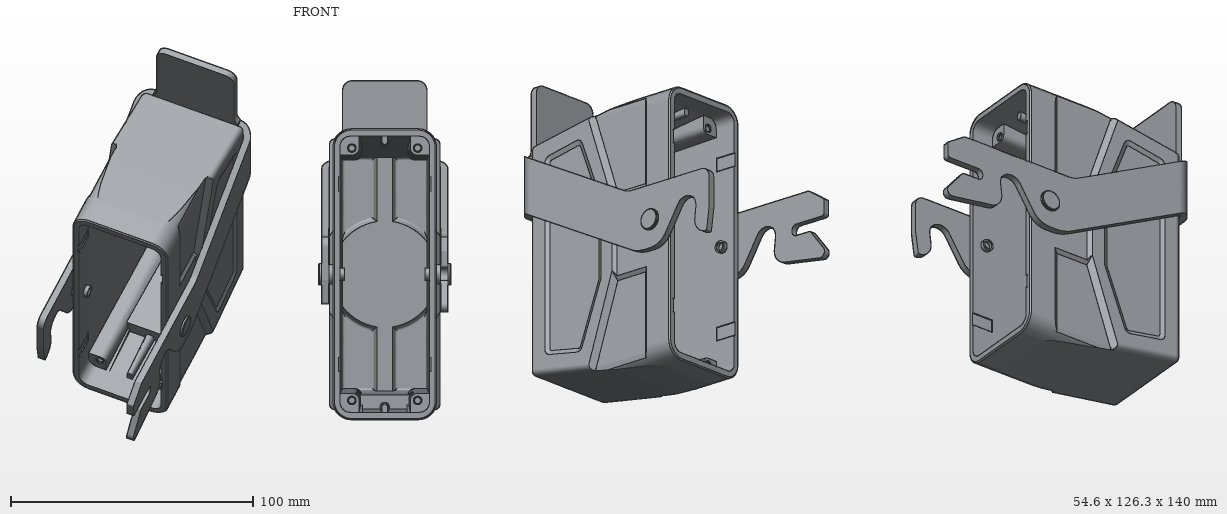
import cadquery as cq
import math


hood_depth = 76.2
hood_half_height = 60.0
body_half_width = 22.89
collar_half_width = 21.35
collar_corner_radius = 7.5
collar_length = 43.4
mouth_chamfer = 0.5
body_edge_radius = 2.4
slope_start_y = 10.9
slope_break_y = 31.6
slope_break_z = 57.8
back_half_height = 50.4
step_y = 29.1
step_half_height = 17.4
step_rim_y = 42.1
step_rim_z = 55.9
step_run = 1.5
step_slope = (step_rim_y - step_y) / (step_rim_z - step_half_height)

panel_floor_x = 20.2
panel_front_y = 14.4
panel_inner_z = 19.5
panel_edge_z = 55.0
panel_edge_drop = 0.4
panel_edge_rise = 2.2
panel_wall_slope = 1.4
panel_diagonal_run = 2.1
pocket_depth = 1.0
pocket_wall_run = 2.0
pocket_corner_radius = 3.1
pocket_middle_corner = (36.8, 17.6)
pocket_front_corner = (48.0, 47.0)
pocket_back_corner = (67.9, 43.4)

mouth_half_width = 18.5
mouth_half_height = 57.0
mouth_corner_radius = 4.2
shelf_y = 10.0
floor_y = 73.1
floor_half_width = 17.4
floor_half_height = 47.9
boss_x = 13.6
boss_z = 52.1
boss_inner_x = 10.6
boss_inner_z = 49.3
boss_corner_radius = 2.5
boss_draft = 2.0
screw_hole_diameter = 2.7
screw_counterbore_diameter = 3.5
screw_counterbore_depth = 0.7
screw_hole_depth = 11.2
key_width = 2.4
key_draft = 2.0
key_tip_z = 53.6
key_length = 35.0
floor_pad_height = 2.8
floor_pad_radius = 22.0
floor_rib_half_width = 3.2
floor_pad_draft = 27.0
floor_fillet = 1.0
ledge_y = 30.8
ledge_half_width = 11.2
ledge_front_z = 49.8
ledge_back_z = 48.9
bay_half_width = 9.1
bay_end_z = 55.6
notch_z = 37.2
notch_height = 5.9
notch_depth = 0.5

pivot_y = 6.5
pin_head_diameter = 9.0
pin_head_chamfer = 0.35
pin_shaft_diameter = 8.0
pin_tail_diameter = 5.0
pin_outer_x = 27.3
pin_inner_x = 16.7
pin_tail_hole_diameter = 3.5
pin_tail_hole_depth = 1.4

lever_thickness = 3.0
lever_half_width = 26.0
lever_back_y = 80.4
lever_bend_radius = 7.0
arm_slope = 0.52
arm_bend_y = lever_back_y - lever_bend_radius
arm_top_at_bend = 43.7
arm_bottom_at_bend = 18.6
arm_top_z = 15.4
arm_bottom_z = -12.3
arm_elbow_radius = 17.8
arm_crook_radius = 10.5
strap_bottom_z = 20.3
tab_top_z = 80.0
tab_half_width = 17.5
tab_corner_radius = 4.2
strap_top_z = 47.0
tab_fillet_radius = 4.2
strap_lower_radius = 1.4
flank_heel = (1.0, arm_bottom_z)
flank_meeting_point = (-21.7, 23.7)
hook_heel = (-17.4, -11.6)
flank_heel_radius = 9.8
notch_radius = 5.5
hook_heel_radius = 6.3
short_tip = (-24.6, -12.5)
short_tip_radius = 0.8
short_end_y = -26.0
short_end_bend_z = -2.5
short_end_top_radius = 4.2
long_tip = (-49.3, -16.5)
long_tip_radius = 2.4
long_end_y = -45.6
long_end_top_z = 9.8
long_top_bevel_y = -37.1
long_bevel_radius = 0.7
slot_half_height = 2.5
slot_end_y = -27.9
slot_corner_radius = 2.4
slot_lower_mouth_y = -38.0
slot_lower_mouth_radius = 1.0
slot_upper_mouth_radius = 1.3

reach = 84.0


def plane_facing_back(y):
    """Sketch plane at depth y with its normal along +Y and its local y along Z."""
    return cq.Workplane(cq.Plane(origin=(0, y, 0), xDir=(-1, 0, 0), normal=(0, 1, 0)))


def plane_facing_side(x):
    """Sketch plane at x with local axes Y and Z and its normal along +X."""
    return cq.Workplane("YZ", origin=(x, 0, 0))


def both_sides(shape):
    """The shape together with its mirror image across X = 0."""
    return shape.union(shape.mirror("YZ"))


def rounded_outline(plane, corners):
    """Closed outline through (u, v, radius) corners, each rounded by a tangent arc."""
    path = None
    for i, (u, v, radius) in enumerate(corners):
        corner = cq.Vector(u, v)
        before = cq.Vector(*corners[i - 1][:2])
        after = cq.Vector(*corners[(i + 1) % len(corners)][:2])
        to_before = (before - corner).normalized()
        to_after = (after - corner).normalized()
        half_angle = to_before.getAngle(to_after) / 2
        setback = radius / math.tan(half_angle)
        start = corner + to_before * setback
        path = plane.moveTo(start.x, start.y) if path is None else path.lineTo(start.x, start.y)
        if radius > 0:
            bisector = (to_before + to_after).normalized()
            middle = corner + bisector * (radius / math.sin(half_angle) - radius)
            end = corner + to_after * setback
            path = path.threePointArc((middle.x, middle.y), (end.x, end.y))
    return path.close()


def hood_side_profile(half_width):
    """Full-length prism between the sloping top and bottom of the hood."""
    upper = [
        (0, hood_half_height),
        (slope_start_y, hood_half_height),
        (slope_break_y, slope_break_z),
        (hood_depth, back_half_height),
    ]
    lower = [(y, -z) for y, z in reversed(upper)]
    return plane_facing_side(-half_width).polyline(upper + lower).close().extrude(2 * half_width)


def step_line(plane):
    """Path along the step that runs across the hood side, bent towards the back above and below."""
    far_y = step_y + (reach - step_half_height) * step_slope
    return plane.polyline(
        [(far_y, reach), (step_y, step_half_height), (step_y, -step_half_height), (far_y, -reach)]
    )


def zone_behind_step():
    """Everything behind the step line, across the whole width."""
    outline = step_line(plane_facing_side(-reach)).lineTo(reach, -reach).lineTo(reach, reach).close()
    return outline.extrude(2 * reach)


def in_front_of_step_cutter():
    """Cutter that leaves the collar standing lower than the body, with a sloping step between."""
    height = body_half_width - collar_half_width
    wall_angle = math.degrees(math.atan2(step_run, height))
    line = step_line(plane_facing_side(collar_half_width))
    outline = line.lineTo(-reach, -reach).lineTo(-reach, reach).close()
    return outline.extrude(height, taper=-wall_angle)


def hood_outside():
    collar = (
        plane_facing_back(0)
        .rect(2 * collar_half_width, 2 * hood_half_height)
        .extrude(collar_length)
        .edges("|Y")
        .fillet(collar_corner_radius)
        .intersect(hood_side_profile(body_half_width))
        .faces("<Y")
        .chamfer(mouth_chamfer)
    )
    body = hood_side_profile(body_half_width).faces("<X or >X or >Y").edges().fillet(body_edge_radius)
    body = body.intersect(zone_behind_step())
    return collar.union(body).cut(both_sides(in_front_of_step_cutter()))


def corner_panel_cutter():
    """Recess at the upper front corner of the +X side, with sloping walls."""
    depth = body_half_width - panel_floor_x
    floor_inner_y = step_y + (panel_inner_z - step_half_height) * step_slope
    floor = [
        (panel_front_y, panel_inner_z),
        (floor_inner_y, panel_inner_z),
        (floor_inner_y + (reach - panel_inner_z) * step_slope, reach),
        (panel_front_y, reach),
    ]
    wall_run = depth * panel_wall_slope
    rim_inner_z = panel_inner_z - wall_run
    rim_inner_y = floor_inner_y - wall_run * step_slope + panel_diagonal_run
    rim = [
        (panel_front_y - wall_run, rim_inner_z),
        (rim_inner_y, rim_inner_z),
        (rim_inner_y + (reach - rim_inner_z) * step_slope, reach),
        (panel_front_y - wall_run, reach),
    ]
    recess = plane_facing_side(panel_floor_x).polyline(floor).close().workplane(offset=depth)
    recess = recess.polyline(rim).close().loft(ruled=True)
    edge_top_z = panel_edge_z + panel_edge_rise
    bevel = [
        (panel_floor_x, panel_edge_z),
        (panel_floor_x - panel_edge_drop, edge_top_z),
        (panel_floor_x, edge_top_z),
    ]
    bevel_length = step_rim_y - panel_front_y
    bevel_cutter = cq.Workplane("XZ", origin=(0, step_rim_y, 0)).polyline(bevel).close().extrude(bevel_length)
    return recess.union(bevel_cutter)


def side_pocket_cutter():
    """Shallow six-cornered pocket in the +X side of the body, with sloping walls."""
    upper = [
        (*pocket_middle_corner, 0),
        (*pocket_front_corner, pocket_corner_radius),
        (*pocket_back_corner, pocket_corner_radius),
    ]
    lower = [(y, -z, radius) for y, z, radius in reversed(upper)]
    wall_angle = math.degrees(math.atan2(pocket_wall_run, pocket_depth))
    outline = rounded_outline(plane_facing_side(body_half_width), upper + lower)
    return outline.extrude(-pocket_depth, taper=wall_angle)


def cavity():
    """Straight mouth with rounded corners, then a tapering space down to the floor."""
    mouth = (
        plane_facing_back(0)
        .rect(2 * mouth_half_width, 2 * mouth_half_height)
        .extrude(shelf_y)
        .edges("|Y")
        .fillet(mouth_corner_radius)
    )
    inside = (
        plane_facing_back(shelf_y)
        .rect(2 * mouth_half_width, 2 * mouth_half_height)
        .workplane(offset=floor_y - shelf_y)
        .rect(2 * floor_half_width, 2 * floor_half_height)
        .loft(ruled=True)
    )
    return mouth.union(inside)


def corner_points(x, z):
    """The four points at +-x, +-z."""
    return [(side * x, end * z) for side in (-1, 1) for end in (-1, 1)]


def screw_bosses():
    """Four drafted corner posts between the shelf level and the floor, merging into the walls."""
    width = collar_half_width - boss_inner_x
    height = hood_half_height - boss_inner_z
    section = cq.Sketch().rect(width, height).vertices().fillet(boss_corner_radius)
    return (
        plane_facing_back(shelf_y)
        .pushPoints(corner_points(boss_inner_x + width / 2, boss_inner_z + height / 2))
        .placeSketch(section)
        .extrude(floor_y - shelf_y, taper=-boss_draft)
    )


def screw_holes():
    start = plane_facing_back(shelf_y).pushPoints(corner_points(boss_x, boss_z))
    holes = start.circle(screw_hole_diameter / 2).extrude(screw_hole_depth)
    counterbores = start.circle(screw_counterbore_diameter / 2).extrude(screw_counterbore_depth)
    return holes.union(counterbores)


def keys():
    """Round-nosed keying ribs on the middle of both end walls."""
    length = 2 * (hood_half_height - key_tip_z)
    return (
        plane_facing_back(shelf_y)
        .pushPoints([(0, hood_half_height), (0, -hood_half_height)])
        .slot2D(length, key_width, 90)
        .extrude(key_length, taper=-key_draft)
    )


def lower_end_bay():
    """Space in front of the ledge, running almost square to the mouth along the lower end wall."""
    side = [(shelf_y, 0), (shelf_y, -mouth_half_height), (ledge_y, -bay_end_z), (ledge_y, 0)]
    return plane_facing_side(-bay_half_width).polyline(side).close().extrude(2 * bay_half_width)


def lower_end_ledge():
    """Ledge between the lower bosses, flat towards the mouth and sloping to the floor behind."""
    side = [
        (ledge_y, -hood_half_height),
        (ledge_y, -ledge_front_z),
        (floor_y, -ledge_back_z),
        (floor_y, -hood_half_height),
    ]
    return plane_facing_side(-ledge_half_width).polyline(side).close().extrude(2 * ledge_half_width)


def floor_pad():
    """Raised round pad and lengthwise rib on the floor of the cavity."""
    top = plane_facing_back(floor_y - floor_pad_height)
    pad = top.circle(floor_pad_radius).extrude(floor_pad_height, taper=-floor_pad_draft)
    rib = top.rect(2 * floor_rib_half_width, 2 * mouth_half_height)
    return pad.union(rib.extrude(floor_pad_height, taper=-floor_pad_draft))


def mouth_notches():
    """Shallow notches in the side walls of the mouth."""
    return (
        plane_facing_back(0)
        .pushPoints([(0, notch_z), (0, -notch_z)])
        .rect(2 * (mouth_half_width + notch_depth), notch_height)
        .extrude(shelf_y)
    )


def pivot_cylinder(start_x, end_x, diameter):
    """Cylinder on the pivot axis between two x positions."""
    return plane_facing_side(start_x).center(pivot_y, 0).circle(diameter / 2).extrude(end_x - start_x)


def make_hood():
    panel = corner_panel_cutter()
    panels = both_sides(panel.union(panel.mirror("XY")))
    outside = hood_outside().cut(panels).cut(both_sides(side_pocket_cutter()))
    hollow = cavity().cut(floor_pad())
    hollow = hollow.faces(">Y").edges().fillet(floor_fillet)
    hollow = hollow.union(lower_end_bay()).cut(lower_end_ledge())
    hollow = hollow.cut(screw_bosses()).cut(keys()).union(mouth_notches())
    return outside.cut(hollow).cut(screw_holes()).cut(pivot_cylinder(-reach, reach, pin_tail_diameter))


def make_pin(side):
    """Stepped pivot pin with a hollow tail, on the -X side (-1) or the +X side (1)."""
    head = pivot_cylinder(lever_half_width, pin_outer_x, pin_head_diameter)
    head = head.faces(">X").chamfer(pin_head_chamfer)
    shaft = pivot_cylinder(collar_half_width, lever_half_width, pin_shaft_diameter)
    tail = pivot_cylinder(pin_inner_x, collar_half_width, pin_tail_diameter)
    tail_hole = pivot_cylinder(pin_inner_x, pin_inner_x + pin_tail_hole_depth, pin_tail_hole_diameter)
    pin = head.union(shaft).union(tail).cut(tail_hole)
    return pin if side > 0 else pin.mirror("YZ")


def arm_outline(end_corners):
    """Corners of one arm's side outline, from the back strap down the slope to its hooked end."""
    past_back_y = lever_back_y + lever_thickness
    top_elbow_y = arm_bend_y - (arm_top_at_bend - arm_top_z) / arm_slope
    bottom_elbow_y = arm_bend_y - (arm_bottom_at_bend - arm_bottom_z) / arm_slope
    strap_lower_y = arm_bend_y + (strap_bottom_z - arm_bottom_at_bend) / arm_slope
    top = [
        (past_back_y, arm_top_at_bend + (past_back_y - arm_bend_y) * arm_slope, 0),
        (top_elbow_y, arm_top_z, arm_crook_radius),
    ]
    bottom = [
        (*hook_heel, hook_heel_radius),
        (*flank_meeting_point, notch_radius),
        (*flank_heel, flank_heel_radius),
        (bottom_elbow_y, arm_bottom_z, arm_elbow_radius),
        (strap_lower_y, strap_bottom_z, strap_lower_radius),
        (past_back_y, strap_bottom_z, 0),
    ]
    return top + end_corners + bottom


def short_arm_zone():
    """Side outline of the -X arm, as a prism over the -X half."""
    end = [
        (short_end_y, arm_top_z, short_end_top_radius),
        (short_end_y, short_end_bend_z, 0),
        (*short_tip, short_tip_radius),
    ]
    return rounded_outline(plane_facing_side(-reach), arm_outline(end)).extrude(reach)


def long_arm_zone():
    """Side outline of the +X arm with its slotted end, as a prism over the +X half."""
    end = [
        (long_top_bevel_y, arm_top_z, long_bevel_radius),
        (long_end_y, long_end_top_z, long_bevel_radius),
        (long_end_y, slot_half_height, slot_upper_mouth_radius),
        (slot_end_y, slot_half_height, slot_corner_radius),
        (slot_end_y, -slot_half_height, slot_corner_radius),
        (slot_lower_mouth_y, -slot_half_height, slot_lower_mouth_radius),
        (*long_tip, long_tip_radius),
    ]
    return rounded_outline(plane_facing_side(0), arm_outline(end)).extrude(reach)


def tab_zone():
    """Block around the flat middle of the back strap and the tab above it."""
    flat_half_width = lever_half_width - lever_bend_radius
    return (
        cq.Workplane("XY", origin=(0, lever_back_y, strap_bottom_z))
        .rect(2 * flat_half_width, 2 * lever_thickness)
        .extrude(tab_top_z - strap_bottom_z)
    )


def lever_front_zone():
    """Front outline of the lever: full width below the strap top, with the rounded tab above it."""
    right = [
        (lever_half_width, -reach, 0),
        (lever_half_width, strap_top_z, 0),
        (tab_half_width, strap_top_z, tab_fillet_radius),
        (tab_half_width, tab_top_z, tab_corner_radius),
    ]
    left = [(-x, z, radius) for x, z, radius in reversed(right)]
    return rounded_outline(plane_facing_back(-reach), right + left).extrude(2 * reach)


def bent_loop(inset):
    """Tall block with rounded upright edges, inset from the outer faces of the lever."""
    return (
        cq.Workplane("XY", origin=(0, 0, -reach))
        .rect(2 * (lever_half_width - inset), 2 * (lever_back_y - inset))
        .extrude(2 * reach)
        .edges("|Z")
        .fillet(lever_bend_radius - inset)
    )


def make_lever():
    sheet = bent_loop(0).cut(bent_loop(lever_thickness))
    side_zone = short_arm_zone().union(long_arm_zone()).union(tab_zone())
    lever = sheet.intersect(side_zone).intersect(lever_front_zone())
    return lever.cut(pivot_cylinder(-reach, reach, pin_shaft_diameter))


hood = make_hood()
lever = make_lever()
pins = [make_pin(side) for side in (-1, 1)]
result = cq.Compound.makeCompound([hood.val(), lever.val(), *[pin.val() for pin in pins]])